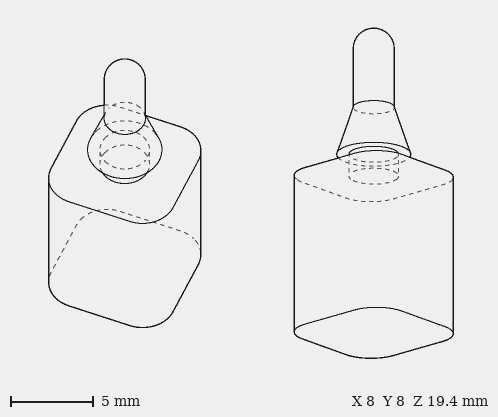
import cadquery as cq

total_height = 19.4
body_width = 8.0
body_height = 10.01
corner_radius = 2.0
neck_diameter = 3.0
neck_height = 1.4
barb_diameter = 4.5
barb_height = 3.0
pin_diameter = 2.5

neck_radius = neck_diameter / 2
barb_radius = barb_diameter / 2
pin_radius = pin_diameter / 2
barb_bottom = body_height + neck_height
barb_top = barb_bottom + barb_height
dome_bottom = total_height - pin_radius
dome_arc_drop = pin_radius * (1 - 0.5**0.5)


def make_body():
    """Square block with rounded vertical corners."""
    block = cq.Workplane("XY").box(body_width, body_width, body_height, centered=(True, True, False))
    return block.edges("|Z").fillet(corner_radius)


def make_pin():
    """Neck, conical barb and dome-ended pin revolved about the Z axis."""
    return (
        cq.Workplane("XZ")
        .moveTo(0, body_height)
        .lineTo(neck_radius, body_height)
        .lineTo(neck_radius, barb_bottom)
        .lineTo(barb_radius, barb_bottom)
        .lineTo(pin_radius, barb_top)
        .lineTo(pin_radius, dome_bottom)
        .threePointArc(
            (pin_radius - dome_arc_drop, total_height - dome_arc_drop),
            (0, total_height),
        )
        .close()
        .revolve(360, (0, 0, 0), (0, 1, 0))
    )


result = make_body().union(make_pin())